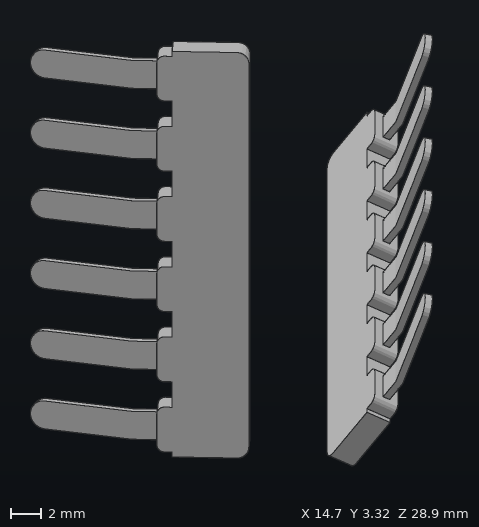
import cadquery as cq
import math

pin_count = 6
pitch = 5.0
pin_width = 2.0
pin_thickness = 0.5
pin_straight_length = 7.0
pin_bent_length = 1.65
pin_embedment = 1.0
bend_angle = 15.0

body_height = 28.9
body_length = 6.1
body_thickness = 1.8
body_corner_radius = 0.8

tab_width = 3.2
tab_depth = 1.0
tab_corner_radius = 0.5

pin_heights = [(i - (pin_count - 1) / 2) * pitch for i in range(pin_count)]


def make_pin(height):
    """Strip with a full-round tip, bent at the Z axis and running into the body."""
    half_thickness = pin_thickness / 2
    angle = math.radians(bend_angle)
    miter = half_thickness * math.tan(angle / 2)
    bent_reach = pin_bent_length + pin_embedment
    end_x = bent_reach * math.cos(angle)
    end_y = bent_reach * math.sin(angle)
    normal_x = half_thickness * math.sin(angle)
    normal_y = half_thickness * math.cos(angle)
    profile = [
        (-pin_straight_length, -half_thickness),
        (miter, -half_thickness),
        (end_x + normal_x, end_y - normal_y),
        (end_x - normal_x, end_y + normal_y),
        (-miter, half_thickness),
        (-pin_straight_length, half_thickness),
    ]
    strip = cq.Workplane("XY").polyline(profile).close().extrude(pin_width / 2, both=True)

    outline_length = pin_straight_length + end_x + pin_width
    outline = (
        cq.Workplane("XZ")
        .center(outline_length / 2 - pin_straight_length, 0)
        .slot2D(outline_length, pin_width)
        .extrude(end_y + pin_thickness, both=True)
    )
    return strip.intersect(outline).translate((0, 0, height))


def upright_block(start, length, height):
    """Block of body thickness, beginning at X = start and centred on Y and Z."""
    return (
        cq.Workplane("XY")
        .box(length, body_thickness, height, centered=(False, True, True))
        .translate((start, 0, 0))
    )


def make_tab(height):
    """Tab with rounded outer corners, overlapping the body behind it."""
    tab = upright_block(pin_bent_length, 2 * tab_depth, tab_width)
    return tab.edges("<X and |Y").fillet(tab_corner_radius).translate((0, 0, height))


def make_body():
    """Plate with rounded far corners and one tab per pin, tilted to the bent pins."""
    body = upright_block(pin_bent_length + tab_depth, body_length - tab_depth, body_height)
    body = body.edges(">X and |Y").fillet(body_corner_radius)
    for height in pin_heights:
        body = body.union(make_tab(height))
    return body.rotate((0, 0, 0), (0, 0, 1), bend_angle)


result = make_body()
for pin_height in pin_heights:
    result = result.union(make_pin(pin_height))